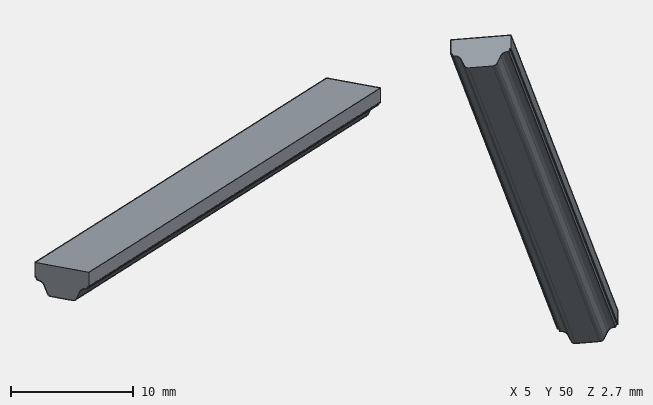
import cadquery as cq
import math

length = 50.0
width = 5.0
height = 2.7
backing_thickness = 1.5
tip_width = 2.5
flank_angle = 25.0
root_radius = 0.6
tip_radius = 0.4

groove_depth = 0.25
groove_floor = 0.1
groove_mouth = 0.2

half_width = width / 2
half_tip = tip_width / 2
tooth_height = height - backing_thickness
half_root = half_tip + tooth_height * math.tan(math.radians(flank_angle))
groove_top = tooth_height + groove_depth

right_side = [
    (half_width, height),
    (half_width, groove_top),
    (half_width - groove_floor, groove_top),
    (half_width - groove_mouth, tooth_height),
    (half_root, tooth_height),
    (half_tip, 0),
]
left_side = [(-x, z) for x, z in reversed(right_side)]
belt = cq.Workplane("XZ").polyline(right_side + left_side).close().extrude(length / 2, both=True)


def round_edge_pair(body, half_spacing, level, radius):
    """Round the two lengthwise edges at X = +/-half_spacing and Z = level."""
    for x in (-half_spacing, half_spacing):
        body = body.edges(cq.selectors.NearestToPointSelector((x, 0, level))).fillet(radius)
    return body


belt = round_edge_pair(belt, half_root, tooth_height, root_radius)
result = round_edge_pair(belt, half_tip, 0, tip_radius)